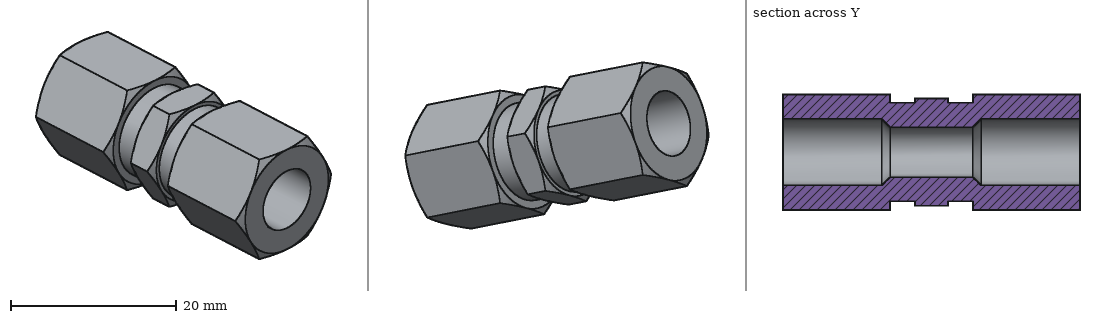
import cadquery as cq
import math

overall_length = 36.0
nut_length = 13.0
nut_across_flats = 14.0
center_hex_width = 4.0
center_hex_across_flats = 13.0
hex_sides = 6
body_diameter = 12.0
tube_diameter = 8.0
bore_diameter = 6.0
hex_chamfer_angle = 30.0
stop_cone_half_angle = 45.0
socket_depth = 12.0

half_length = overall_length / 2
nut_center_x = half_length - nut_length / 2
body_radius = body_diameter / 2
tube_radius = tube_diameter / 2
bore_radius = bore_diameter / 2
stop_cone_length = (tube_radius - bore_radius) / math.tan(math.radians(stop_cone_half_angle))


def revolve_about_x(profile):
    """Revolve a list of (x, radius) points about the X axis."""
    return cq.Workplane("XY").polyline(profile).close().revolve(360, (0, 0, 0), (1, 0, 0))


def chamfered_hexagon(across_flats, length, center_x):
    """Hexagonal prism along X, flats facing +Z and -Z, corners chamfered at both ends."""
    flat_radius = across_flats / 2
    corner_radius = flat_radius / math.cos(math.pi / hex_sides)
    chamfer_depth = (corner_radius - flat_radius) * math.tan(math.radians(hex_chamfer_angle))
    start_x = center_x - length / 2
    end_x = center_x + length / 2
    prism = (
        cq.Workplane("YZ", origin=(start_x, 0, 0))
        .polygon(hex_sides, 2 * corner_radius)
        .extrude(length)
    )
    envelope = revolve_about_x([
        (start_x, 0),
        (start_x, flat_radius),
        (start_x + chamfer_depth, corner_radius),
        (end_x - chamfer_depth, corner_radius),
        (end_x, flat_radius),
        (end_x, 0),
    ])
    return prism.intersect(envelope)


def through_passage():
    """Tube sockets at both ends, narrowing through conical tube stops to the central bore."""
    socket_end_x = half_length - socket_depth
    stop_cone_end_x = socket_end_x - stop_cone_length
    return revolve_about_x([
        (-half_length, 0),
        (-half_length, tube_radius),
        (-socket_end_x, tube_radius),
        (-stop_cone_end_x, bore_radius),
        (stop_cone_end_x, bore_radius),
        (socket_end_x, tube_radius),
        (half_length, tube_radius),
        (half_length, 0),
    ])


def body_barrel():
    """Round body running between the inner faces of the two nuts."""
    barrel_length = overall_length - 2 * nut_length
    return (
        cq.Workplane("YZ", origin=(-barrel_length / 2, 0, 0))
        .circle(body_radius)
        .extrude(barrel_length)
    )


coupling = body_barrel().union(chamfered_hexagon(center_hex_across_flats, center_hex_width, 0))
for side in (-1, 1):
    coupling = coupling.union(chamfered_hexagon(nut_across_flats, nut_length, side * nut_center_x))

result = coupling.cut(through_passage())